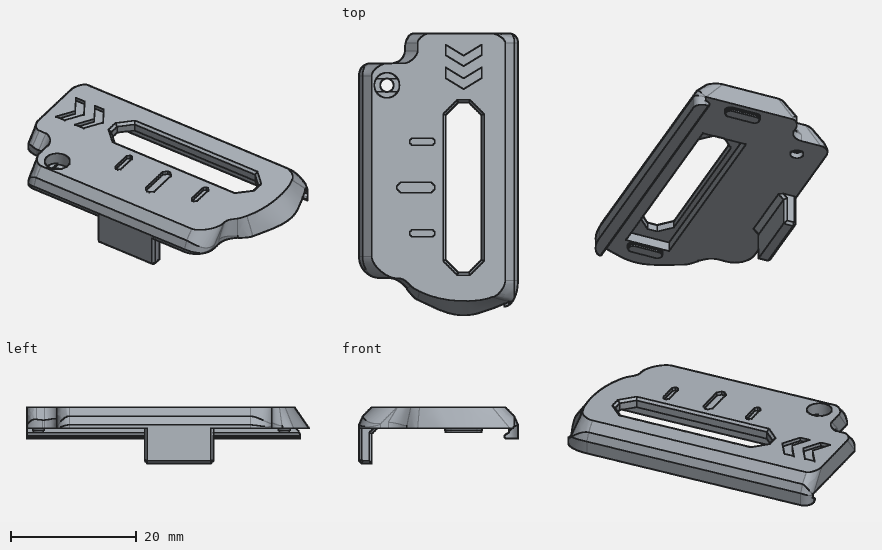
import math

import cadquery as cq

WIDTH = 25.32
LENGTH = 44.87
PLATE_HEIGHT = 3.37
LEG_DROP = 5.6
OUTSIDE = 2.0

TOP_INSET = 2.05
SLOPE_OUTSET = PLATE_HEIGHT - TOP_INSET
BEVEL_OUTSET = 0.24
BEVEL_INSET = 1.25

LEFT_LOW_Y = 9.4
LEFT_HIGH_Y = 38.15
RIGHT_LOW_Y = 5.6
RIGHT_HIGH_Y = 43.37
FOOT_Y = 5.93
SHOULDER_Y = 40.1
NOTCH_X = 7.3
NOTCH_LOW_Y = 42.1

FOOT_END_X = {"low": 3.4, "slope": 2.65, "top": 6.0}
SHOULDER_END_X = {"low": 1.84, "top": 4.54}
NOTCH_HOLLOW_X = {"low": 5.2, "slope": 4.0, "top": 7.2}
NOTCH_HIGH_Y = {"low": 42.4, "top": 43.37}
NOTCH_END_X = {"low": 8.8, "slope": 8.46, "top": 11.3}
BACK_END_X = {"low": 23.8, "top": 20.9}
FOOT_HOLLOW_X = {"low": 4.67, "slope": 4.05, "top": 6.1}
HOLLOW_END = {"low": (7.65, 4.3), "slope": (7.5, 4.3), "top": (8.2, 4.75)}
TIP_START = {"low": (9.3, 2.5), "top": (9.6, 3.85)}
TIP_MIDDLE = {"low": (16.5, 0.0), "top": (16.5, 2.3)}
TIP_END = {"low": (24.0, 2.2), "top": (21.2, 2.95)}
TIP_START_SLOPE = (2.0, -1.0)
TIP_END_SLOPE = (2.0, 0.8)
LIP_CORNER = (23.1, 1.4)

BEVEL_FOOT_X = {"low": 3.1, "top": 4.6}
BEVEL_SHOULDER_X = {"low": 1.84, "top": 3.2}
BEVEL_BACK_X = {"low": 23.8, "top": 22.5}
BEVEL_LIP_Y = {"low": 1.2, "top": 2.7}

ELLIPSE_FULLNESS = 0.5523
SLOPE_FULLNESS = 0.42
BEVEL_FULLNESS = 0.5

WINDOW_CENTER = (16.65, 20.35)
WINDOW_SIZE = (5.66, 27.0)
WINDOW_CUT = 2.0
WINDOW_CHAMFER = 0.43
SEAT_MARGIN = (0.9, 1.95)
SEAT_HEIGHT = 1.7

SCREW_CENTER = (4.46, 36.6)
HOLE_DIAMETER = 2.1
COUNTERBORE_DIAMETER = 4.0
COUNTERBORE_DEPTH = 2.0
CROSS_SLOT_DEPTH = 0.3

MARK_DEPTH = 0.6
MARK_RIGHT_X = 12.1
LONG_MARK = (6.07, 1.65, 0.6)
SHORT_MARK = (4.05, 1.08, 0.37)
MARK_PITCH = 7.28
CHEVRON_HALF_WIDTH = 2.87
CHEVRON_TIP_Y = 39.65
CHEVRON_RISE = 1.75
CHEVRON_BAND = 1.68
CHEVRON_PITCH = 3.65
CHEVRON_COUNT = 2

LEG_THICKNESS = 2.07
LEG_Y = (15.2, 26.15)
LEG_CHAMFER = 0.43
GUSSET = 0.87
LEG_OVERLAP = 0.3

TAB_Y = (3.96, 43.05)
TAB_BASE = (6.0, 1.86)
TAB_END = (5.76, 1.6)
TAB_BASE_DROP = 0.27
TAB_DROP = 0.65

LIP_DROP = 1.64
LIP_INNER_X = 23.83
HOOK_X = LIP_CORNER[0]
HOOK_CUT = 0.25
HOOK_TOP_DROP = 0.7
LIP_RELIEF = 0.7


def rounded(path, start, square, end, fullness=ELLIPSE_FULLNESS):
    """Add a curve from start to end that rounds off the corner point `square`."""
    controls = [
        tuple(p + fullness * (s - p) for p, s in zip(point, square))
        for point in (start, end)
    ]
    return path.bezier([start, *controls, end])


def slope_outline(z, level, slope_level, inset):
    """Plate outline at height z with its sides moved in by `inset`."""
    left = inset
    right = WIDTH - inset
    notch = NOTCH_X + inset
    foot_end = (FOOT_END_X[slope_level], FOOT_Y)
    hollow_start = (FOOT_HOLLOW_X[slope_level], FOOT_Y)
    hollow_end = HOLLOW_END[slope_level]
    tip_start = TIP_START[level]
    tip_end = TIP_END[level]
    back_end = (BACK_END_X[level], LENGTH)
    shoulder_end = (SHOULDER_END_X[level], SHOULDER_Y)
    notch_high = (notch, NOTCH_HIGH_Y["top"])
    notch_end = (NOTCH_END_X[slope_level], LENGTH)
    notch_start = (NOTCH_HOLLOW_X[slope_level], SHOULDER_Y)

    path = cq.Workplane("XY").workplane(offset=z).moveTo(left, LEFT_LOW_Y)
    path = rounded(path, (left, LEFT_LOW_Y), (left, FOOT_Y), foot_end, SLOPE_FULLNESS)
    path = path.lineTo(*hollow_start)
    path = path.spline([hollow_end], tangents=[(1, 0), (1, -1)], includeCurrent=True)
    path = path.spline([tip_start], tangents=[(1, -1), TIP_START_SLOPE], includeCurrent=True)
    path = path.spline(
        [TIP_MIDDLE[level], tip_end],
        tangents=[TIP_START_SLOPE, TIP_END_SLOPE],
        includeCurrent=True,
    )
    path = rounded(path, tip_end, (right, tip_end[1]), (right, RIGHT_LOW_Y), SLOPE_FULLNESS)
    path = path.lineTo(right, RIGHT_HIGH_Y)
    path = rounded(path, (right, RIGHT_HIGH_Y), (right, LENGTH), back_end, SLOPE_FULLNESS)
    path = path.lineTo(*notch_end)
    path = rounded(path, notch_end, (notch, LENGTH), notch_high, SLOPE_FULLNESS)
    path = path.lineTo(notch, NOTCH_LOW_Y)
    path = rounded(path, (notch, NOTCH_LOW_Y), (notch, SHOULDER_Y), notch_start, SLOPE_FULLNESS)
    path = path.lineTo(*shoulder_end)
    path = rounded(path, shoulder_end, (left, SHOULDER_Y), (left, LEFT_HIGH_Y), SLOPE_FULLNESS)
    return path.close().val()


def sloped_body():
    """Body bounded by the 45 degree side slopes and the slanted tip wall."""
    underside = slope_outline(0, "low", "slope", -SLOPE_OUTSET)
    top = slope_outline(PLATE_HEIGHT, "top", "top", TOP_INSET)
    return cq.Workplane(cq.Solid.makeLoft([underside, top], True))


def upright_body():
    """Upright walls of the plate and lip; open-ended around the tip."""
    low = -OUTSIDE
    hollow_end = HOLLOW_END["low"]
    notch_start = (NOTCH_HOLLOW_X["low"], SHOULDER_Y)
    shoulder_end = (SHOULDER_END_X["low"], SHOULDER_Y)
    back_end = (BACK_END_X["low"], LENGTH)
    notch_end = (NOTCH_END_X["low"], LENGTH)

    path = cq.Workplane("XY").workplane(offset=-LIP_DROP).moveTo(0, LEFT_LOW_Y)
    path = rounded(path, (0, LEFT_LOW_Y), (0, FOOT_Y), (FOOT_END_X["low"], FOOT_Y))
    path = path.lineTo(FOOT_HOLLOW_X["low"], FOOT_Y)
    path = path.spline([hollow_end], tangents=[(1, 0), (1, -1)], includeCurrent=True)
    path = path.lineTo(hollow_end[0], low).lineTo(LIP_CORNER[0], low).lineTo(*LIP_CORNER)
    path = rounded(path, LIP_CORNER, (WIDTH, LIP_CORNER[1]), (WIDTH, RIGHT_LOW_Y))
    path = path.lineTo(WIDTH, RIGHT_HIGH_Y)
    path = rounded(path, (WIDTH, RIGHT_HIGH_Y), (WIDTH, LENGTH), back_end)
    path = path.lineTo(*notch_end)
    path = rounded(path, notch_end, (NOTCH_X, LENGTH), (NOTCH_X, NOTCH_HIGH_Y["low"]))
    path = path.lineTo(NOTCH_X, NOTCH_LOW_Y)
    path = rounded(path, (NOTCH_X, NOTCH_LOW_Y), (NOTCH_X, SHOULDER_Y), notch_start)
    path = path.lineTo(*shoulder_end)
    path = rounded(path, shoulder_end, (0, SHOULDER_Y), (0, LEFT_HIGH_Y))
    return path.close().extrude(LIP_DROP + PLATE_HEIGHT)


def bevel_outline(z, level, inset):
    """Outline of the lower side bevels, open-ended around the tip and the back."""
    left = inset
    right = WIDTH - inset
    low = -OUTSIDE
    high = LENGTH + OUTSIDE
    foot_end = (BEVEL_FOOT_X[level], FOOT_Y)
    shoulder_end = (BEVEL_SHOULDER_X[level], SHOULDER_Y)
    back_end = (BEVEL_BACK_X[level], LENGTH)
    lip_corner = (LIP_CORNER[0], BEVEL_LIP_Y[level])

    path = cq.Workplane("XY").workplane(offset=z).moveTo(left, LEFT_LOW_Y)
    path = rounded(path, (left, LEFT_LOW_Y), (left, FOOT_Y), foot_end, BEVEL_FULLNESS)
    path = path.lineTo(foot_end[0], low).lineTo(lip_corner[0], low).lineTo(*lip_corner)
    path = rounded(path, lip_corner, (right, lip_corner[1]), (right, RIGHT_LOW_Y), BEVEL_FULLNESS)
    path = path.lineTo(right, RIGHT_HIGH_Y)
    path = rounded(path, (right, RIGHT_HIGH_Y), (right, LENGTH), back_end, BEVEL_FULLNESS)
    path = path.lineTo(back_end[0], high).lineTo(shoulder_end[0], high).lineTo(*shoulder_end)
    path = rounded(path, shoulder_end, (left, SHOULDER_Y), (left, LEFT_HIGH_Y), BEVEL_FULLNESS)
    return path.close().val()


def bevelled_body():
    """Body bounded by the steep bevels low on both sides."""
    underside = bevel_outline(0, "low", -BEVEL_OUTSET)
    top = bevel_outline(PLATE_HEIGHT, "top", BEVEL_INSET)
    return cq.Workplane(cq.Solid.makeLoft([underside, top], True))


def cut_corner_bar(center, length_x, length_y, cut, bottom, height):
    """Upright bar with its four corners cut at 45 degrees."""
    bar = cq.Workplane("XY").workplane(offset=bottom).center(*center)
    return bar.rect(length_x, length_y).extrude(height).edges("|Z").chamfer(cut)


def window():
    """Through window, chamfered at the top face, with a rectangular seat below."""
    width, length = WINDOW_SIZE
    opening = cut_corner_bar(WINDOW_CENTER, width, length, WINDOW_CUT, 0, PLATE_HEIGHT)
    flare = cut_corner_bar(
        WINDOW_CENTER,
        width + 2 * WINDOW_CHAMFER,
        length + 2 * WINDOW_CHAMFER,
        WINDOW_CUT + WINDOW_CHAMFER * (2 - math.sqrt(2)),
        PLATE_HEIGHT - WINDOW_CHAMFER,
        WINDOW_CHAMFER + OUTSIDE,
    )
    flare = flare.faces("<Z").chamfer(WINDOW_CHAMFER)
    seat = cq.Workplane("XY").center(*WINDOW_CENTER)
    seat = seat.rect(width + 2 * SEAT_MARGIN[0], length + 2 * SEAT_MARGIN[1]).extrude(SEAT_HEIGHT)
    return opening.union(flare).union(seat)


def screw_hole():
    """Counterbored hole with a shallow slot across the counterbore floor."""
    floor = PLATE_HEIGHT - COUNTERBORE_DEPTH
    base = cq.Workplane("XY").center(*SCREW_CENTER)
    hole = base.circle(HOLE_DIAMETER / 2).extrude(PLATE_HEIGHT)
    counterbore = base.workplane(offset=floor).circle(COUNTERBORE_DIAMETER / 2)
    counterbore = counterbore.extrude(COUNTERBORE_DEPTH)
    slot_level = base.workplane(offset=floor - CROSS_SLOT_DEPTH)
    disc = slot_level.circle(COUNTERBORE_DIAMETER / 2).extrude(CROSS_SLOT_DEPTH)
    slot = slot_level.rect(COUNTERBORE_DIAMETER, HOLE_DIAMETER).extrude(CROSS_SLOT_DEPTH)
    return hole.union(counterbore).union(slot.intersect(disc))


def bar_mark(size, center_y):
    """Sunk bar whose right end lies on the common line of the bar marks."""
    length, width, cut = size
    center = (MARK_RIGHT_X - length / 2, center_y)
    return cut_corner_bar(center, length, width, cut, PLATE_HEIGHT - MARK_DEPTH, MARK_DEPTH)


def chevron(tip_y):
    """Sunk V-shaped band pointing toward the tip of the plate."""
    x = WINDOW_CENTER[0]
    points = [
        (x, tip_y),
        (x + CHEVRON_HALF_WIDTH, tip_y + CHEVRON_RISE),
        (x + CHEVRON_HALF_WIDTH, tip_y + CHEVRON_RISE + CHEVRON_BAND),
        (x, tip_y + CHEVRON_BAND),
        (x - CHEVRON_HALF_WIDTH, tip_y + CHEVRON_RISE + CHEVRON_BAND),
        (x - CHEVRON_HALF_WIDTH, tip_y + CHEVRON_RISE),
    ]
    plane = cq.Workplane("XY").workplane(offset=PLATE_HEIGHT - MARK_DEPTH)
    return plane.polyline(points).close().extrude(MARK_DEPTH)


def leg():
    """Leg hanging from the left side, with a gusset under the plate and chamfered edges."""
    gusset_x = LEG_THICKNESS + GUSSET + LEG_OVERLAP
    profile = [
        (0, LEG_OVERLAP),
        (0, -LEG_DROP),
        (LEG_THICKNESS, -LEG_DROP),
        (LEG_THICKNESS, -GUSSET),
        (gusset_x, LEG_OVERLAP),
    ]
    plane = cq.Workplane("XZ", origin=(0, LEG_Y[1], 0))
    body = plane.polyline(profile).close().extrude(LEG_Y[1] - LEG_Y[0])
    outer_bottom = cq.selectors.NearestToPointSelector((0, sum(LEG_Y) / 2, -LEG_DROP))
    body = body.edges(outer_bottom).chamfer(LEG_CHAMFER)
    return body.faces("<Y or >Y").edges("not >Z").chamfer(LEG_CHAMFER)


def tab(center_y):
    """Stepped, round-ended locating tab below the plate."""
    plane = cq.Workplane("XY").center(WINDOW_CENTER[0], center_y)
    base = plane.slot2D(*TAB_BASE).extrude(-TAB_BASE_DROP)
    end = plane.slot2D(*TAB_END).extrude(-TAB_DROP)
    return base.union(end)


def lip(walls):
    """Snap lip with an inward hook, trimmed by the upright walls."""
    profile = [
        (LIP_INNER_X, 0),
        (LIP_INNER_X, -HOOK_TOP_DROP),
        (HOOK_X + HOOK_CUT, -HOOK_TOP_DROP - HOOK_CUT),
        (HOOK_X, -HOOK_TOP_DROP - 2 * HOOK_CUT),
        (HOOK_X, -LIP_DROP + HOOK_CUT),
        (HOOK_X + HOOK_CUT, -LIP_DROP),
        (WIDTH, -LIP_DROP),
        (WIDTH, 0),
    ]
    plane = cq.Workplane("XZ", origin=(0, LENGTH, 0))
    body = plane.polyline(profile).close().extrude(LENGTH).intersect(walls)
    relief = [
        (0, 0),
        (LIP_CORNER[1] + LIP_RELIEF, 0),
        (LIP_CORNER[1], -LIP_RELIEF),
        (0, -LIP_RELIEF),
    ]
    return body.cut(cq.Workplane("YZ").polyline(relief).close().extrude(WIDTH))


walls = upright_body()
part = sloped_body().intersect(walls).intersect(bevelled_body())
part = part.union(leg()).union(lip(walls))
for tab_y in TAB_Y:
    part = part.union(tab(tab_y))

part = part.cut(window()).cut(screw_hole())
part = part.cut(bar_mark(LONG_MARK, WINDOW_CENTER[1]))
for side in (-1, 1):
    part = part.cut(bar_mark(SHORT_MARK, WINDOW_CENTER[1] + side * MARK_PITCH))
for index in range(CHEVRON_COUNT):
    part = part.cut(chevron(CHEVRON_TIP_Y - index * CHEVRON_PITCH))

result = part